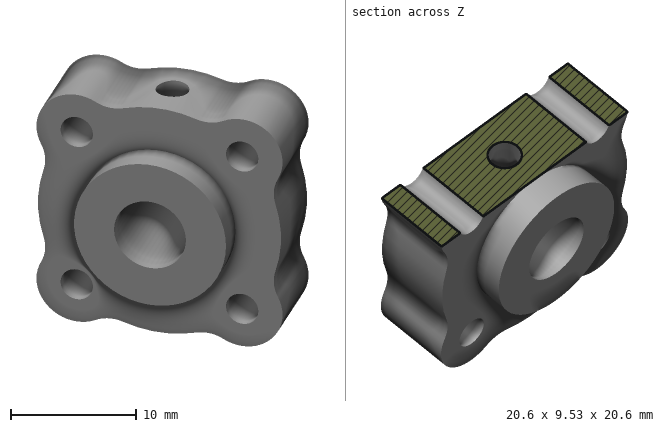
import cadquery as cq
import math

body_radius = 10.16
flange_thickness = 6.985
bolt_circle_diameter = 19.558
overall_width = 20.574
bolt_hole_diameter = 2.7
blend_radius = 3.0

boss_diameter = 12.7
boss_height = 2.54
total_height = flange_thickness + boss_height
bore_diameter = 6.0

set_screw_diameter = 2.7

lobe_distance = bolt_circle_diameter / 2
lobe_offset = lobe_distance / math.sqrt(2)
lobe_radius = overall_width / 2 - lobe_offset
lobe_count = 4
lobe_pitch = 360 / lobe_count
lobe_angles = [lobe_pitch * (i + 0.5) for i in range(lobe_count)]


def polar(radius, angle):
    """Point at the given radius and angle (degrees) about the bore axis."""
    return (radius * math.cos(math.radians(angle)), radius * math.sin(math.radians(angle)))


def step_toward(start, end, distance):
    """Point at the given distance from start on the way to end."""
    ratio = distance / math.dist(start, end)
    return tuple(a + (b - a) * ratio for a, b in zip(start, end))


body_to_blend = body_radius + blend_radius
lobe_to_blend = lobe_radius + blend_radius
blend_spread = math.degrees(
    math.acos(
        (lobe_distance**2 + body_to_blend**2 - lobe_to_blend**2) / (2 * lobe_distance * body_to_blend)
    )
)


def blend_points(lobe_center, blend_angle):
    """Middle of a blend arc and its tangent point on the lobe."""
    blend_center = polar(body_to_blend, blend_angle)
    on_body = polar(body_radius, blend_angle)
    on_lobe = step_toward(blend_center, lobe_center, blend_radius)
    chord_middle = tuple((a + b) / 2 for a, b in zip(on_body, on_lobe))
    return step_toward(blend_center, chord_middle, blend_radius), on_lobe


def flange_outline():
    """Closed outline, counterclockwise: blend, lobe, blend and body arc for each lobe."""
    outline = cq.Workplane("XZ").moveTo(*polar(body_radius, lobe_angles[0] - blend_spread))
    for angle in lobe_angles:
        lobe_center = polar(lobe_distance, angle)
        lobe_tip = polar(lobe_distance + lobe_radius, angle)
        first_blend_middle, lobe_start = blend_points(lobe_center, angle - blend_spread)
        second_blend_middle, lobe_end = blend_points(lobe_center, angle + blend_spread)
        outline = (
            outline.threePointArc(first_blend_middle, lobe_start)
            .threePointArc(lobe_tip, lobe_end)
            .threePointArc(second_blend_middle, polar(body_radius, angle + blend_spread))
            .threePointArc(
                polar(body_radius, angle + lobe_pitch / 2),
                polar(body_radius, angle + lobe_pitch - blend_spread),
            )
        )
    return outline.close()


def make_body():
    """Flange with the boss standing on its front face."""
    flange = flange_outline().extrude(flange_thickness)
    boss = cq.Workplane("XZ").circle(boss_diameter / 2).extrude(total_height)
    return flange.union(boss)


def make_axial_holes():
    """Central bore and the four bolt holes, all right through."""
    bore = cq.Workplane("XZ").circle(bore_diameter / 2).extrude(total_height)
    bolt_holes = (
        cq.Workplane("XZ")
        .pushPoints([polar(lobe_distance, angle) for angle in lobe_angles])
        .circle(bolt_hole_diameter / 2)
        .extrude(flange_thickness)
    )
    return bore.union(bolt_holes)


def make_set_screw_hole():
    """Hole at mid thickness of the flange, from the bore axis out past the body."""
    return (
        cq.Workplane("XY")
        .center(0, -flange_thickness / 2)
        .circle(set_screw_diameter / 2)
        .extrude(overall_width / 2)
    )


result = make_body().cut(make_axial_holes()).cut(make_set_screw_hole())